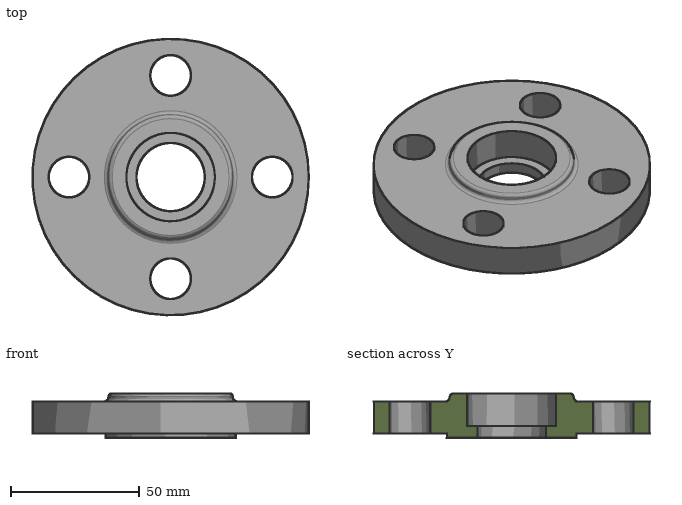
import cadquery as cq

flange_diameter = 107.9
flange_thickness = 12.6
raised_face_diameter = 50.8
raised_face_height = 1.6
hub_base_diameter = 49.2
hub_height = 3.1
hub_draft_angle = 10.0
hub_fillet_radius = 1.5
bore_diameter = 26.5
socket_diameter = 34.5
socket_depth = 12.7
bolt_hole_count = 4
bolt_circle_diameter = 79.3
bolt_hole_diameter = 15.8

flange_bottom_z = raised_face_height
flange_top_z = flange_bottom_z + flange_thickness
hub_top_z = flange_top_z + hub_height


def cylinder(diameter, bottom_z, top_z):
    """Upright cylinder on the flange axis."""
    return cq.Workplane("XY").workplane(offset=bottom_z).circle(diameter / 2).extrude(top_z - bottom_z)


def make_body():
    """Disc with the raised face below it and the drafted, rounded hub above it."""
    raised_face = cylinder(raised_face_diameter, 0, flange_bottom_z)
    disc = cylinder(flange_diameter, flange_bottom_z, flange_top_z)
    hub = (
        cq.Workplane("XY")
        .workplane(offset=flange_top_z)
        .circle(hub_base_diameter / 2)
        .extrude(hub_height, taper=hub_draft_angle)
    )
    body = raised_face.union(disc).union(hub)

    hub_rims = body.faces("%CONE").edges("%CIRCLE")
    return hub_rims.fillet(hub_fillet_radius)


def make_bore():
    """Through bore, widened from the hub side into a pipe socket."""
    bore = cylinder(bore_diameter, 0, hub_top_z)
    socket = cylinder(socket_diameter, hub_top_z - socket_depth, hub_top_z)
    return bore.union(socket)


def make_bolt_holes():
    """Through holes evenly spaced on the bolt circle, starting on the X axis."""
    return (
        cq.Workplane("XY")
        .polarArray(bolt_circle_diameter / 2, 0, 360, bolt_hole_count)
        .circle(bolt_hole_diameter / 2)
        .extrude(flange_top_z)
    )


result = make_body().cut(make_bore()).cut(make_bolt_holes())